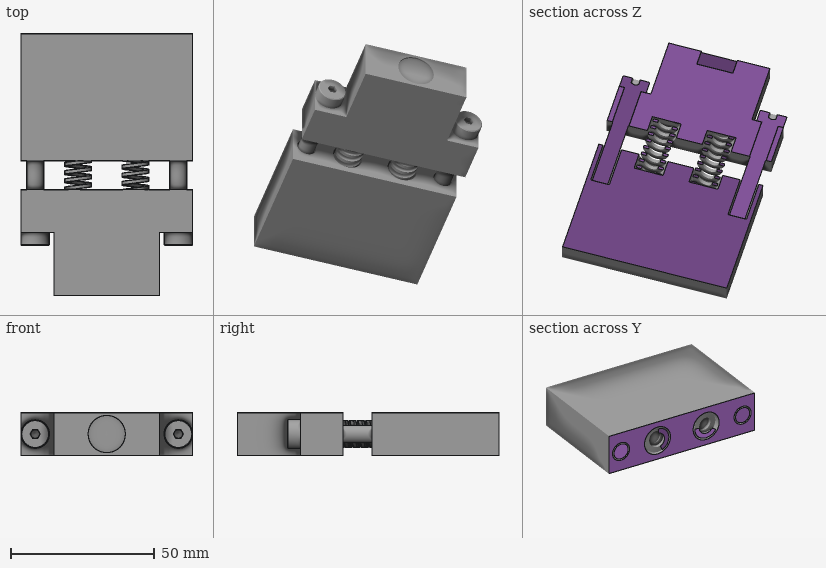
import cadquery as cq
import math

width = 60.0
thickness = 15.0

tongue_width = 37.0
tongue_length = 22.0
plate_length = 15.0
gap = 10.0
rear_length = 44.5

bolt_offset = 25.0
shank_diameter = 6.0
shank_clearance = 0.8
shank_engagement = 15.0
head_diameter = 10.0
head_height = 4.5
head_chamfer = 0.3
socket_sides = 6
socket_flats = 3.0
socket_depth = 2.0
socket_point_angle = 120.0

spring_offset = 10.0
spring_outer_diameter = 9.5
spring_wire_radial = 2.0
spring_wire_axial = 1.2
spring_pitch = 2.85
spring_pocket_diameter = 10.5
spring_pocket_depth = 6.0
spring_start_angles = {-1: -245.0, 1: -130.0}

disc_diameter = 13.0
disc_thickness = 5.0
disc_recess = 0.5

shoulder_y = tongue_length
plate_back_y = shoulder_y + plate_length
rear_front_y = plate_back_y + gap
shank_end_y = rear_front_y + shank_engagement
spring_start_y = plate_back_y - spring_pocket_depth
spring_length = gap + 2 * spring_pocket_depth

sides = (-1, 1)


def block(block_width, start_y, length):
    """Full-thickness block centred on X and Z, running back from start_y."""
    return cq.Workplane("XY").box(block_width, length, thickness).translate((0, start_y + length / 2, 0))


def rod(diameter, start_y, length, x=0.0):
    """Cylinder along +Y starting at start_y."""
    axis = cq.Vector(0, 1, 0)
    return cq.Workplane(cq.Solid.makeCylinder(diameter / 2, length, cq.Vector(x, start_y, 0), axis))


def make_front_block():
    """T-shaped block: tongue, cross plate, disc recess, bolt holes and spring pockets."""
    body = block(tongue_width, 0, tongue_length).union(block(width, shoulder_y, plate_length))
    body = body.cut(rod(disc_diameter, 0, disc_recess + disc_thickness))
    for side in sides:
        body = body.cut(rod(shank_diameter, shoulder_y, plate_length, side * bolt_offset))
        body = body.cut(
            rod(spring_pocket_diameter, spring_start_y, spring_pocket_depth, side * spring_offset)
        )
    return body


def make_rear_block():
    """Plain rear block with clearance holes for the bolts and pockets for the springs."""
    body = block(width, rear_front_y, rear_length)
    hole_diameter = shank_diameter + shank_clearance
    for side in sides:
        body = body.cut(rod(hole_diameter, rear_front_y, shank_engagement, side * bolt_offset))
        body = body.cut(
            rod(spring_pocket_diameter, rear_front_y, spring_pocket_depth, side * spring_offset)
        )
    return body


def make_bolt(side):
    """Shoulder bolt: chamfered cylindrical head with a cone-bottomed hexagon socket."""
    x = side * bolt_offset
    head_front_y = shoulder_y - head_height
    head = rod(head_diameter, head_front_y, head_height, x).faces("<Y").chamfer(head_chamfer)
    shank = rod(shank_diameter, shoulder_y, shank_end_y - shoulder_y, x)

    socket_corners = socket_flats / math.cos(math.radians(180 / socket_sides))
    socket = (
        cq.Workplane("XZ", origin=(x, head_front_y, 0))
        .polygon(socket_sides, socket_corners)
        .extrude(-socket_depth)
    )
    point_radius = socket_flats / 2
    point_depth = point_radius / math.tan(math.radians(socket_point_angle / 2))
    point = cq.Solid.makeCone(
        point_radius, 0, point_depth, cq.Vector(x, head_front_y + socket_depth, 0), cq.Vector(0, 1, 0)
    )
    return head.union(shank).cut(socket).cut(cq.Workplane(point))


def make_spring(side):
    """Right-handed helical spring with ends ground flat against the pocket floors."""
    wire_radius = (spring_outer_diameter - spring_wire_radial) / 2
    wound_length = spring_length + 2 * spring_pitch
    path = cq.Workplane(cq.Wire.makeHelix(spring_pitch, wound_length, wire_radius))
    coil = (
        cq.Workplane("XZ", origin=(wire_radius, 0, 0))
        .rect(spring_wire_radial, spring_wire_axial)
        .sweep(path, isFrenet=True)
        .translate((0, 0, -spring_pitch))
    )
    envelope = cq.Workplane("XY").circle(spring_outer_diameter).extrude(spring_length)
    coil = coil.intersect(envelope)
    coil = coil.rotate((0, 0, 0), (0, 0, 1), spring_start_angles[side])
    coil = coil.rotate((0, 0, 0), (1, 0, 0), -90)
    return coil.translate((side * spring_offset, spring_start_y, 0))


front_block = make_front_block()
rear_block = make_rear_block()
bolts = [make_bolt(side) for side in sides]
springs = [make_spring(side) for side in sides]
disc = rod(disc_diameter, disc_recess, disc_thickness)

result = cq.Compound.makeCompound(
    [
        front_block.val(),
        rear_block.val(),
        disc.val(),
        *[bolt.val() for bolt in bolts],
        *[solid for spring in springs for solid in spring.vals()],
    ]
)